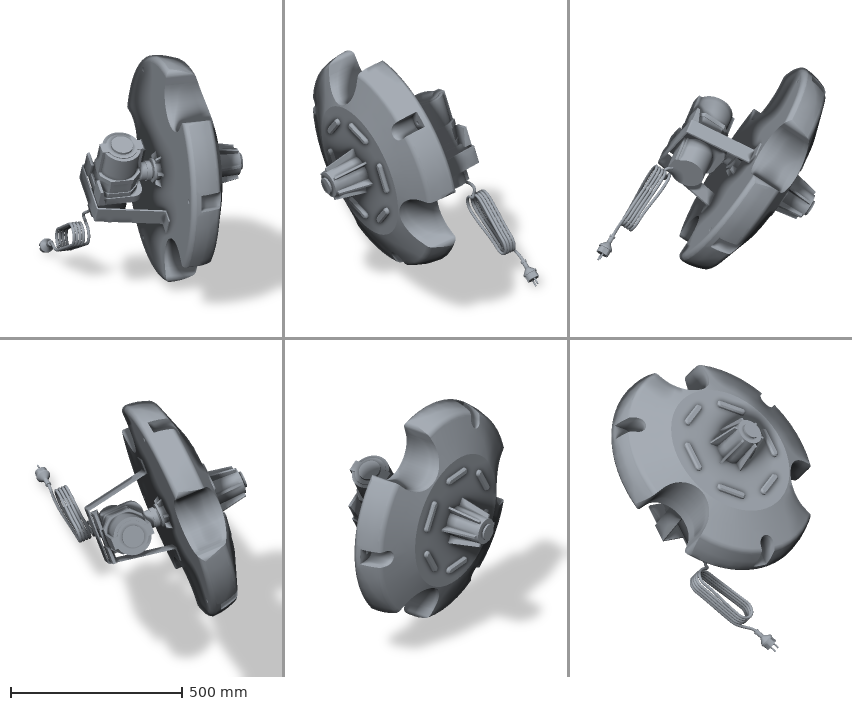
import cadquery as cq
import math


FLOAT_RADIUS = 334.5
FLAT_FACE_RADIUS = 318.0
ROUND_EDGE_HEIGHT = 14.0
ROUND_EDGE_MID = (329.0, 4.5)
RIM_MID = (331.0, 46.5)
RIM_TOP = (321.5, 78.5)
SHOULDER_MID = (317.0, 87.0)
SHOULDER_TOP = (307.0, 94.0)
FLOAT_TOP_RADIUS = 204.0
FLOAT_HEIGHT = 132.5

NOTCH_COUNT = 3
NOTCH_START_ANGLE = 60.0
NOTCH_RADIUS = 86.0
NOTCH_CENTRE_RADIUS = 294.0
NOTCH_FLARE = 12.0
NOTCH_CORNER_RADIUS = 17.5

TIE_HOLE_DIAMETER = 14.0
TIE_HOLE_CIRCLE_RADIUS = 299.0
TIE_POCKET_WIDTH = 51.0
TIE_POCKET_FLOOR = 28.5

BAR_COUNT = 6
BAR_LENGTH = 94.5
BAR_WIDTH = 21.0
BAR_HEIGHT = 11.0
BAR_CHAMFER = 4.5
BAR_CENTRE_RADIUS = 150.5

HUB_TOP = 241.5
HUB_TOP_RADIUS = 39.0
HUB_BASE_RADIUS = 45.0
HUB_COLLAR_RADIUS = 36.0
HUB_COLLAR_HEIGHT = 6.5
HUB_TUBE_RADIUS = 31.0
HUB_TUBE_END = -15.0
FIN_COUNT = 6
FIN_THICKNESS = 6.5
FIN_TOP = 236.5
FIN_TOP_RADIUS = 50.0
FIN_FOOT_RADIUS = 70.0
FIN_FACE_RADIUS = 54.5
FIN_END_RADIUS = 45.0
SHAFT_RADIUS = 17.1

SHAFT_CAP_RADIUS = 25.0
SHAFT_CAP_BOTTOM = 246.0
SHAFT_TOP = 252.0
COUPLING_NECK_RADIUS = 23.65
COUPLING_NECK_END = -28.0
COUPLING_COLLAR_RADIUS = 30.0
COUPLING_COLLAR_END = -41.5
COUPLING_BODY_RADIUS = 27.3
COUPLING_BODY_END = -62.0
COUPLING_CHAMFER = 3.0
COUPLING_FOOT_RADIUS = 22.2

DRIVE_TILT = 30.0
DRIVE_AXIS_Y = -131.0
MOTOR_RADIUS = 57.0
MOTOR_BOTTOM = 15.0
MOTOR_TOP = 119.0
MOTOR_CAP_TOP = 122.0
MOTOR_CAP_RADIUS = 46.5
MOTOR_BOSS_TOP = 129.5
MOTOR_BOSS_RADIUS = 32.4
STRIP_WIDTH = 35.0
STRIP_DEPTH = 126.0
STRIP_BOTTOM = 33.5
GEARBOX_WIDTH = 118.0
GEARBOX_DEPTH = 122.0
GEARBOX_CHAMFER = 27.0
GEARBOX_WAIST_INSET = 2.0
GEARBOX_WAIST_BOTTOM = -19.0
GEARBOX_WAIST_TOP = 20.0
GEARBOX_BOTTOM = -36.5
GEARBOX_TOP = 35.0
FLANGE_HALF_WIDTH = 62.0
FLANGE_BACK_Y = -53.0
FLANGE_FRONT_Y = -192.0
FLANGE_CORNER_RADIUS = 33.0
FLANGE_BOTTOM = -62.0
STUB_RADIUS = 50.0
STUB_BOTTOM = -157.0
TERMINAL_BOX_WIDTH = 57.0
TERMINAL_BOX_FRONT_Y = -180.0
TERMINAL_COVER_WIDTH = 45.0
TERMINAL_COVER_FRONT_Y = -186.0
FOOT_HALF_WIDTH = 79.0
FOOT_BOTTOM = -42.0
FOOT_TOP = 14.0
FOOT_TOP_THICKNESS = 9.0
FOOT_BOTTOM_THICKNESS = 22.0
FOOT_WINDOW_WIDTH = 58.0
FOOT_WINDOW_BOTTOM = -21.0
FOOT_RECESS_DEPTH = 3.0

BRACKET_BOTTOM = -101.0
BRACKET_WIDTH = 54.0
STRAP_THICKNESS = 4.5
STRAP_BEND_RADIUS = 5.0
STRAP_FRONT_Y = -204.0
STRAP_HALF_LENGTH = 87.0
LEG_FOOT_HALF_SPAN = 123.0
BRACKET_HALF_LENGTH = 161.5

CABLE_DIAMETER = 9.0
COIL_ANGLE = 24.5
COIL_MIDDLE = (-184.0, -246.0)
COIL_STRAIGHT = 137.0
COIL_RADIUS = 31.0
COIL_FIRST_Y = -185.0
COIL_FIRST_DROP = 11.0
COIL_PITCH = 9.8
COIL_TURNS = 4
COIL_ENTRY_ANGLE = 45.0
LEAD_IN_POINTS = [
    (-92.0, -174.5, -129.1),
    (-95.0, -184.0, -141.0),
    (-106.0, -193.0, -149.0),
    (-116.0, -193.5, -160.0),
    (-116.0, -190.0, -172.0),
]
TAIL_POINTS = [(-268.5, -235.0, -306.0), (-292.0, -233.5, -304.0)]

PLUG_ANGLE = 28.0
PLUG_TIP = (-387.0, -232.0, -346.0)
PIN_DIAMETER = 4.95
PIN_SPACING = 20.0
PIN_LENGTH = 20.0
PLUG_BODY_RADIUS = 18.55
PLUG_BODY_FLATS = 33.5
PLUG_GROOVE_WIDTH = 7.0
PLUG_GROOVE_DEPTH = 4.0
PLUG_FLANGE_RADIUS = 20.7
PLUG_FLANGE_START = 38.0
PLUG_FLANGE_END = 43.0
PLUG_CONE_END = 58.0
PLUG_SLEEVE_RADIUS = 6.9
PLUG_COLLAR_RADIUS = 8.4
PLUG_COLLAR_START = 77.0
PLUG_END = 83.0


def spin(shape, angle):
    """Turn a shape about the Y axis, from +X towards +Z."""
    return shape.rotate((0, 0, 0), (0, 1, 0), -angle)


def spaced_angles(count, start=0.0):
    return [start + 360.0 / count * i for i in range(count)]


def face_plane(y):
    """Work plane facing -Y at height y, with local axes X and Z."""
    return cq.Workplane("XZ", origin=(0, y, 0))


def make_notch_cutter():
    flare = math.radians(NOTCH_FLARE)
    wall_start_x = NOTCH_CENTRE_RADIUS - NOTCH_RADIUS * math.sin(flare)
    wall_start_z = NOTCH_RADIUS * math.cos(flare)
    wall_end_x = FLOAT_RADIUS + NOTCH_RADIUS
    wall_end_z = wall_start_z + (wall_end_x - wall_start_x) * math.tan(flare)
    return (
        face_plane(0)
        .moveTo(wall_end_x, -wall_end_z)
        .lineTo(wall_start_x, -wall_start_z)
        .threePointArc((NOTCH_CENTRE_RADIUS - NOTCH_RADIUS, 0), (wall_start_x, wall_start_z))
        .lineTo(wall_end_x, wall_end_z)
        .close()
        .extrude(-FLOAT_HEIGHT)
    )


def make_tie_cutter():
    """Through hole, with a round-ended pocket around it that opens at the rim."""
    hole = (
        face_plane(0)
        .center(TIE_HOLE_CIRCLE_RADIUS, 0)
        .circle(TIE_HOLE_DIAMETER / 2)
        .extrude(-FLOAT_HEIGHT)
    )
    pocket_reach = FLOAT_RADIUS
    pocket = (
        face_plane(TIE_POCKET_FLOOR)
        .center(TIE_HOLE_CIRCLE_RADIUS + pocket_reach / 2, 0)
        .slot2D(pocket_reach + TIE_POCKET_WIDTH, TIE_POCKET_WIDTH)
        .extrude(-FLOAT_HEIGHT)
    )
    return hole.union(pocket)


def is_rim_corner(edge):
    """True for an upright edge where a notch wall meets the rim, not for the seam on the +X side."""
    centre = edge.Center()
    on_rim = math.hypot(centre.x, centre.z) > FLOAT_RADIUS - 1.0
    return on_rim and abs(centre.z) > 1.0


def make_float(hub, shaft):
    rounded_disc = (
        cq.Workplane("XY")
        .lineTo(FLAT_FACE_RADIUS, 0)
        .threePointArc(ROUND_EDGE_MID, (FLOAT_RADIUS, ROUND_EDGE_HEIGHT))
        .threePointArc(RIM_MID, RIM_TOP)
        .threePointArc(SHOULDER_MID, SHOULDER_TOP)
        .lineTo(FLOAT_TOP_RADIUS, FLOAT_HEIGHT)
        .lineTo(0, FLOAT_HEIGHT)
        .close()
        .revolve(360, (0, 0, 0), (0, 1, 0))
    )
    outline = face_plane(0).circle(FLOAT_RADIUS).extrude(-FLOAT_HEIGHT)
    notch = make_notch_cutter()
    for angle in spaced_angles(NOTCH_COUNT, NOTCH_START_ANGLE):
        outline = outline.cut(spin(notch, angle))
    outline = outline.edges("|Y").filter(is_rim_corner).fillet(NOTCH_CORNER_RADIUS)
    body = outline.intersect(rounded_disc)

    tie_cutter = make_tie_cutter()
    for angle in spaced_angles(NOTCH_COUNT):
        body = body.cut(spin(tie_cutter, angle))
    bar = (
        face_plane(FLOAT_HEIGHT)
        .center(BAR_CENTRE_RADIUS, 0)
        .slot2D(BAR_LENGTH, BAR_WIDTH, 90)
        .extrude(-BAR_HEIGHT)
        .faces(">Y")
        .chamfer(BAR_CHAMFER)
    )
    for angle in spaced_angles(BAR_COUNT, NOTCH_START_ANGLE / 2):
        body = body.union(spin(bar, angle))
    return body.cut(hub).cut(shaft)


def make_hub():
    collar_end = HUB_TUBE_END - HUB_COLLAR_HEIGHT
    body = (
        cq.Workplane("XY")
        .moveTo(SHAFT_RADIUS, collar_end)
        .lineTo(HUB_COLLAR_RADIUS, collar_end)
        .lineTo(HUB_COLLAR_RADIUS, HUB_TUBE_END)
        .lineTo(HUB_TUBE_RADIUS, HUB_TUBE_END)
        .lineTo(HUB_TUBE_RADIUS, FLOAT_HEIGHT)
        .lineTo(HUB_BASE_RADIUS, FLOAT_HEIGHT)
        .lineTo(HUB_TOP_RADIUS, HUB_TOP)
        .lineTo(SHAFT_RADIUS, HUB_TOP)
        .close()
        .revolve(360, (0, 0, 0), (0, 1, 0))
    )
    fin_root = (SHAFT_RADIUS + HUB_TUBE_RADIUS) / 2
    fin = (
        cq.Workplane("XY", origin=(0, 0, -FIN_THICKNESS / 2))
        .moveTo(fin_root, HUB_TUBE_END)
        .lineTo(FIN_END_RADIUS, HUB_TUBE_END)
        .lineTo(FIN_FACE_RADIUS, 0)
        .lineTo(FIN_FOOT_RADIUS, FLOAT_HEIGHT)
        .lineTo(FIN_TOP_RADIUS, FIN_TOP)
        .lineTo(fin_root, FIN_TOP)
        .close()
        .extrude(FIN_THICKNESS)
    )
    for angle in spaced_angles(FIN_COUNT):
        body = body.union(spin(fin, angle))
    return body


def make_shaft(drive):
    gearbox_back = DRIVE_AXIS_Y + GEARBOX_DEPTH / 2 - GEARBOX_WAIST_INSET
    hub_end = HUB_TUBE_END - HUB_COLLAR_HEIGHT
    shaft = (
        cq.Workplane("XY")
        .moveTo(0, SHAFT_TOP)
        .lineTo(SHAFT_CAP_RADIUS, SHAFT_TOP)
        .lineTo(SHAFT_CAP_RADIUS, SHAFT_CAP_BOTTOM)
        .lineTo(SHAFT_RADIUS, SHAFT_CAP_BOTTOM)
        .lineTo(SHAFT_RADIUS, hub_end)
        .lineTo(COUPLING_NECK_RADIUS, hub_end)
        .lineTo(COUPLING_NECK_RADIUS, COUPLING_NECK_END)
        .lineTo(COUPLING_COLLAR_RADIUS, COUPLING_NECK_END)
        .lineTo(COUPLING_COLLAR_RADIUS, COUPLING_COLLAR_END)
        .lineTo(COUPLING_BODY_RADIUS, COUPLING_COLLAR_END)
        .lineTo(COUPLING_BODY_RADIUS, COUPLING_BODY_END + COUPLING_CHAMFER)
        .lineTo(COUPLING_BODY_RADIUS - COUPLING_CHAMFER, COUPLING_BODY_END)
        .lineTo(COUPLING_FOOT_RADIUS, COUPLING_BODY_END)
        .lineTo(COUPLING_FOOT_RADIUS, gearbox_back)
        .lineTo(0, gearbox_back)
        .close()
        .revolve(360, (0, 0, 0), (0, 1, 0))
    )
    return shaft.cut(drive)


def drive_plane(z):
    return cq.Workplane("XY", origin=(0, DRIVE_AXIS_Y, z))


def make_motor():
    cylinder = drive_plane(MOTOR_BOTTOM).circle(MOTOR_RADIUS).extrude(MOTOR_TOP - MOTOR_BOTTOM)
    cap = drive_plane(MOTOR_TOP).circle(MOTOR_CAP_RADIUS).extrude(MOTOR_CAP_TOP - MOTOR_TOP)
    strip = drive_plane(STRIP_BOTTOM).rect(STRIP_WIDTH, STRIP_DEPTH).extrude(MOTOR_CAP_TOP - STRIP_BOTTOM)
    boss = drive_plane(MOTOR_TOP).circle(MOTOR_BOSS_RADIUS).extrude(MOTOR_BOSS_TOP - MOTOR_TOP)
    return cylinder.union(strip).union(cap).union(boss)


def make_octagon(inset, bottom, top):
    """Gearbox section with four chamfered corners, set in from the full size on every side."""
    return (
        drive_plane(bottom)
        .rect(GEARBOX_WIDTH - 2 * inset, GEARBOX_DEPTH - 2 * inset)
        .extrude(top - bottom)
        .edges("|Z")
        .chamfer(GEARBOX_CHAMFER)
    )


def make_gearbox():
    lower_ring = make_octagon(0, GEARBOX_BOTTOM, GEARBOX_WAIST_BOTTOM)
    waist = make_octagon(GEARBOX_WAIST_INSET, GEARBOX_WAIST_BOTTOM, GEARBOX_WAIST_TOP)
    upper_ring = make_octagon(0, GEARBOX_WAIST_TOP, GEARBOX_TOP)
    flange_depth = FLANGE_BACK_Y - FLANGE_FRONT_Y
    flange = (
        cq.Workplane("XY", origin=(0, FLANGE_BACK_Y - flange_depth / 2, FLANGE_BOTTOM))
        .rect(2 * FLANGE_HALF_WIDTH, flange_depth)
        .extrude(GEARBOX_BOTTOM - FLANGE_BOTTOM)
        .edges("|Z and >Y")
        .fillet(FLANGE_CORNER_RADIUS)
    )
    return lower_ring.union(waist).union(upper_ring).union(flange)


def foot_front_y():
    return STRAP_FRONT_Y + STRAP_THICKNESS


def make_foot():
    """Mounting foot that thickens towards the bracket, with an open window above a shallow recess."""
    front = foot_front_y()
    foot = (
        cq.Workplane("YZ", origin=(-FOOT_HALF_WIDTH, 0, 0))
        .moveTo(front, FOOT_BOTTOM)
        .lineTo(front + FOOT_BOTTOM_THICKNESS, FOOT_BOTTOM)
        .lineTo(front + FOOT_TOP_THICKNESS, FOOT_TOP)
        .lineTo(front, FOOT_TOP)
        .close()
        .extrude(2 * FOOT_HALF_WIDTH)
    )
    window_height = FOOT_TOP - FOOT_WINDOW_BOTTOM
    window = (
        cq.Workplane("XY", origin=(0, front, FOOT_WINDOW_BOTTOM))
        .rect(FOOT_WINDOW_WIDTH, 2 * FOOT_BOTTOM_THICKNESS)
        .extrude(window_height)
    )
    recess = (
        cq.Workplane("XY", origin=(0, front, FOOT_BOTTOM))
        .rect(FOOT_WINDOW_WIDTH, 2 * FOOT_RECESS_DEPTH)
        .extrude(FOOT_WINDOW_BOTTOM - FOOT_BOTTOM)
    )
    return foot.cut(window).cut(recess)


def make_stub_block(width, front_y):
    """Block along the whole stub, from the drive axis to its front."""
    depth = DRIVE_AXIS_Y - front_y
    return (
        cq.Workplane("XY", origin=(0, DRIVE_AXIS_Y - depth / 2, STUB_BOTTOM))
        .rect(width, depth)
        .extrude(FLANGE_BOTTOM - STUB_BOTTOM)
    )


def make_stub():
    stub = drive_plane(STUB_BOTTOM).circle(STUB_RADIUS).extrude(FLANGE_BOTTOM - STUB_BOTTOM)
    terminal_box = make_stub_block(TERMINAL_BOX_WIDTH, TERMINAL_BOX_FRONT_Y)
    terminal_cover = make_stub_block(TERMINAL_COVER_WIDTH, TERMINAL_COVER_FRONT_Y)
    return stub.union(terminal_box).union(terminal_cover)


def make_drive():
    drive = make_motor().union(make_gearbox()).union(make_foot()).union(make_stub())
    return spin(drive, -DRIVE_TILT)


def is_outer_bend(edge):
    """True for the bend edges on the side of the strap that faces away from the drive."""
    centre = edge.Center()
    at_strap = centre.y < STRAP_FRONT_Y + STRAP_THICKNESS / 2
    at_foot = abs(abs(centre.x) - LEG_FOOT_HALF_SPAN) < STRAP_THICKNESS / 2
    return at_strap or at_foot


def make_bracket():
    right_outline = [
        (STRAP_HALF_LENGTH, STRAP_FRONT_Y),
        (LEG_FOOT_HALF_SPAN, -STRAP_THICKNESS),
        (BRACKET_HALF_LENGTH, -STRAP_THICKNESS),
        (BRACKET_HALF_LENGTH, 0),
        (LEG_FOOT_HALF_SPAN - STRAP_THICKNESS, 0),
        (STRAP_HALF_LENGTH - STRAP_THICKNESS, foot_front_y()),
    ]
    left_outline = [(-x, y) for x, y in reversed(right_outline)]
    bracket = (
        cq.Workplane("XY", origin=(0, 0, BRACKET_BOTTOM))
        .polyline(right_outline + left_outline)
        .close()
        .extrude(BRACKET_WIDTH)
        .edges("|Z")
        .filter(is_outer_bend)
        .fillet(STRAP_BEND_RADIUS)
    )
    return spin(bracket, -DRIVE_TILT)


def coil_point(end, angle, y):
    """Point on an end bend of the coil: end is +1 or -1, the angle is from the coil's long axis."""
    tilt = math.radians(COIL_ANGLE)
    turn = math.radians(angle)
    along = end * COIL_STRAIGHT / 2 + COIL_RADIUS * math.cos(turn)
    across = COIL_RADIUS * math.sin(turn)
    x = COIL_MIDDLE[0] + along * math.cos(tilt) - across * math.sin(tilt)
    z = COIL_MIDDLE[1] + along * math.sin(tilt) + across * math.cos(tilt)
    return cq.Vector(x, y, z)


def coil_bend(end, start_angle, stop_angle, y):
    middle_angle = (start_angle + stop_angle) / 2
    return cq.Edge.makeThreePointArc(
        coil_point(end, start_angle, y),
        coil_point(end, middle_angle, y),
        coil_point(end, stop_angle, y),
    )


def join_smoothly(previous, following):
    return cq.Edge.makeSpline(
        [previous.endPoint(), following.startPoint()],
        tangents=[previous.tangentAt(1), following.tangentAt(0)],
    )


def make_cable_path():
    bends = [coil_bend(1, COIL_ENTRY_ANGLE, -90, COIL_FIRST_Y)]
    for turn in range(COIL_TURNS):
        y = COIL_FIRST_Y - COIL_FIRST_DROP - turn * COIL_PITCH
        bends.append(coil_bend(-1, 270, 90, y))
        bends.append(coil_bend(1, 90, -90, y - COIL_PITCH / 2))

    lead_points = [cq.Vector(*point) for point in LEAD_IN_POINTS] + [bends[0].startPoint()]
    drive_tilt = math.radians(DRIVE_TILT)
    box_end_normal = cq.Vector(-math.sin(drive_tilt), 0, -math.cos(drive_tilt))
    lead_in = cq.Edge.makeSpline(lead_points, tangents=[box_end_normal, bends[0].tangentAt(0)])

    edges = [lead_in, bends[0]]
    for previous, bend in zip(bends, bends[1:]):
        edges.append(join_smoothly(previous, bend))
        edges.append(bend)

    tail_y = TAIL_POINTS[0][1]
    leg_end = coil_point(-1, -90, tail_y)
    leg_direction = bends[-1].tangentAt(1)
    last_leg = cq.Edge.makeSpline([bends[-1].endPoint(), leg_end], tangents=[leg_direction, leg_direction])
    edges.append(last_leg)
    tail_points = [leg_end] + [cq.Vector(*point) for point in TAIL_POINTS] + [plug_point(PLUG_END)]
    edges.append(cq.Edge.makeSpline(tail_points, tangents=[leg_direction, -plug_direction()]))
    return cq.Wire.assembleEdges(edges)


def make_cable():
    path = make_cable_path()
    start_plane = cq.Plane(path.startPoint(), (0, 1, 0), path.tangentAt(0))
    return (
        cq.Workplane(start_plane)
        .circle(CABLE_DIAMETER / 2)
        .sweep(cq.Workplane(path))
    )


def plug_direction():
    angle = math.radians(PLUG_ANGLE)
    return cq.Vector(math.cos(angle), 0, math.sin(angle))


def plug_point(distance):
    """Point on the plug axis at a distance from the pin tips towards the cable."""
    return cq.Vector(*PLUG_TIP) + plug_direction() * distance


def plug_section(start):
    """Work plane across the plug axis, with local axes along Y and along the row of pins."""
    return cq.Workplane(cq.Plane(plug_point(start), (0, 1, 0), plug_direction()))


def plug_cylinder(radius, start, end):
    return plug_section(start).circle(radius).extrude(end - start)


def make_plug_body():
    """Round body with two flats beside the pins and an earth-contact groove on each other side."""
    length = PLUG_FLANGE_START - PIN_LENGTH
    slab = plug_section(PIN_LENGTH).rect(2 * PLUG_BODY_RADIUS, PLUG_BODY_FLATS).extrude(length)
    grooves = (
        plug_section(PIN_LENGTH)
        .pushPoints([(-PLUG_BODY_RADIUS, 0), (PLUG_BODY_RADIUS, 0)])
        .rect(2 * PLUG_GROOVE_DEPTH, PLUG_GROOVE_WIDTH)
        .extrude(length)
    )
    return plug_cylinder(PLUG_BODY_RADIUS, PIN_LENGTH, PLUG_FLANGE_START).intersect(slab).cut(grooves)


def make_plug():
    flange = plug_cylinder(PLUG_FLANGE_RADIUS, PLUG_FLANGE_START, PLUG_FLANGE_END)
    cone = (
        plug_section(PLUG_FLANGE_END)
        .circle(PLUG_FLANGE_RADIUS)
        .workplane(offset=PLUG_CONE_END - PLUG_FLANGE_END)
        .circle(PLUG_SLEEVE_RADIUS)
        .loft()
    )
    sleeve = plug_cylinder(PLUG_SLEEVE_RADIUS, PLUG_CONE_END, PLUG_COLLAR_START)
    collar = plug_cylinder(PLUG_COLLAR_RADIUS, PLUG_COLLAR_START, PLUG_END)
    pins = (
        plug_section(0)
        .pushPoints([(0, -PIN_SPACING / 2), (0, PIN_SPACING / 2)])
        .circle(PIN_DIAMETER / 2)
        .extrude(PIN_LENGTH)
    )
    return make_plug_body().union(flange).union(cone).union(sleeve).union(collar).union(pins)


hub = make_hub()
drive = make_drive()
shaft = make_shaft(drive)
float_body = make_float(hub, shaft)
bracket = make_bracket()
cable = make_cable()
plug = make_plug()

result = cq.Compound.makeCompound(
    [
        *float_body.solids().vals(),
        *hub.solids().vals(),
        *shaft.solids().vals(),
        *drive.solids().vals(),
        *bracket.solids().vals(),
        *cable.solids().vals(),
        *plug.solids().vals(),
    ]
)